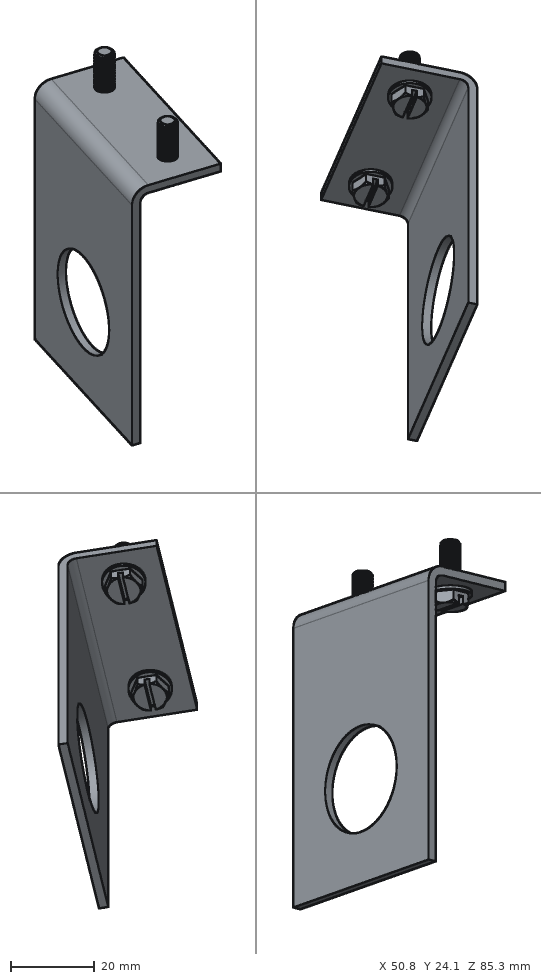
import cadquery as cq
import math

BRACKET_WIDTH = 50.8
BRACKET_DEPTH = 24.15
BRACKET_HEIGHT = 74.9
SHEET_THICKNESS = 2.3
BEND_OUTER_RADIUS = 4.4
WINDOW_DIAMETER = 26.8
WINDOW_HEIGHT = 26.45

TOTAL_HEIGHT = 85.3
SCREW_SPACING = 32.9
SCREW_Y = 14.3
THREAD_DIAMETER = 4.95
THREAD_ROOT_DIAMETER = 4.0
THREAD_PITCH = 0.8
TIP_CHAMFER = 0.7
FLANGE_DIAMETER = 10.5
FLANGE_THICKNESS = 0.85
HEX_ACROSS_FLATS = 8.0
HEAD_HEIGHT = 3.9
HEAD_CHAMFER = 0.6
SLOT_WIDTH = 1.2
SLOT_DEPTH = 2.0

CREST_FLAT = THREAD_PITCH / 8
ROOT_FLAT = THREAD_PITCH / 4
GROOVE_OVERSHOOT = 0.1
GROOVE_LEAD = 0.75 * THREAD_PITCH
SEAM_ANGLE = 200

THREAD_LENGTH = TOTAL_HEIGHT - BRACKET_HEIGHT
SEAT_Z = BRACKET_HEIGHT - SHEET_THICKNESS
SCREW_XS = [-SCREW_SPACING / 2, SCREW_SPACING / 2]


def make_bracket():
    """Bent sheet with a round window in the long leg and two screw holes in the top leg."""
    profile = (
        cq.Workplane("YZ")
        .polyline([
            (0, 0),
            (0, BRACKET_HEIGHT),
            (BRACKET_DEPTH, BRACKET_HEIGHT),
            (BRACKET_DEPTH, SEAT_Z),
            (SHEET_THICKNESS, SEAT_Z),
            (SHEET_THICKNESS, 0),
        ])
        .close()
    )
    sheet = profile.extrude(BRACKET_WIDTH / 2, both=True)
    sheet = sheet.edges("|X").edges("<Y and >Z").fillet(BEND_OUTER_RADIUS)
    inner_edge = cq.selectors.NearestToPointSelector((0, SHEET_THICKNESS, SEAT_Z))
    sheet = sheet.edges("|X").edges(inner_edge).fillet(BEND_OUTER_RADIUS - SHEET_THICKNESS)

    window = (
        cq.Workplane("XZ")
        .center(0, WINDOW_HEIGHT)
        .circle(WINDOW_DIAMETER / 2)
        .extrude(-SHEET_THICKNESS)
    )
    screw_holes = (
        cq.Workplane("XY", origin=(0, SCREW_Y, SEAT_Z))
        .pushPoints([(x, 0) for x in SCREW_XS])
        .circle(THREAD_DIAMETER / 2)
        .extrude(SHEET_THICKNESS)
    )
    return sheet.cut(window).cut(screw_holes)


def make_head():
    """Flange and chamfered hexagon hanging below Z = 0, with a driver slot along X."""
    across_corners = HEX_ACROSS_FLATS / math.cos(math.radians(30))
    flange = cq.Workplane("XY").circle(FLANGE_DIAMETER / 2).extrude(-FLANGE_THICKNESS)
    hexagon = (
        cq.Workplane("XY")
        .transformed(rotate=(0, 0, 90))
        .polygon(6, across_corners)
        .extrude(-HEAD_HEIGHT)
    )
    corner_trim = (
        cq.Workplane("XY")
        .circle(across_corners / 2)
        .extrude(-HEAD_HEIGHT)
        .faces("<Z")
        .chamfer(HEAD_CHAMFER)
    )
    slot = (
        cq.Workplane("XY", origin=(0, 0, -HEAD_HEIGHT))
        .rect(FLANGE_DIAMETER, SLOT_WIDTH)
        .extrude(SLOT_DEPTH)
    )
    return hexagon.intersect(corner_trim).union(flange).cut(slot)


def make_neck():
    """Plain cylinder that fills the hole in the sheet."""
    return cq.Workplane("XY").circle(THREAD_DIAMETER / 2).extrude(SHEET_THICKNESS)


def make_thread():
    """Exposed shank above the sheet: a chamfered cylinder with a right-hand helical groove."""
    root_radius = THREAD_ROOT_DIAMETER / 2
    crest_radius = THREAD_DIAMETER / 2
    blank = (
        cq.Workplane("XY", origin=(0, 0, SHEET_THICKNESS))
        .circle(crest_radius)
        .extrude(THREAD_LENGTH)
        .faces(">Z")
        .chamfer(TIP_CHAMFER)
        .rotate((0, 0, 0), (0, 0, 1), SEAM_ANGLE)
    )

    groove_start = SHEET_THICKNESS - GROOVE_LEAD
    helix = cq.Wire.makeHelix(
        THREAD_PITCH, THREAD_LENGTH + 2 * THREAD_PITCH, crest_radius, cq.Vector(0, 0, groove_start)
    )
    root_half = ROOT_FLAT / 2
    crest_half = (THREAD_PITCH - CREST_FLAT) / 2
    flank_slope = (crest_half - root_half) / (crest_radius - root_radius)
    mouth_half = crest_half + flank_slope * GROOVE_OVERSHOOT
    mouth_radius = crest_radius + GROOVE_OVERSHOOT
    groove = (
        cq.Workplane("XZ")
        .polyline([
            (root_radius, groove_start - root_half),
            (mouth_radius, groove_start - mouth_half),
            (mouth_radius, groove_start + mouth_half),
            (root_radius, groove_start + root_half),
        ])
        .close()
        .sweep(cq.Workplane(obj=helix), isFrenet=True)
    )
    return blank.cut(groove)


def make_screw():
    """One flange-head screw with its seat at Z = 0."""
    return make_head().union(make_neck()).union(make_thread())


bracket = make_bracket()
screw = make_screw()
screws = [screw.translate((x, SCREW_Y, SEAT_Z)) for x in SCREW_XS]

result = cq.Compound.makeCompound([bracket.val(), *[s.val() for s in screws]])